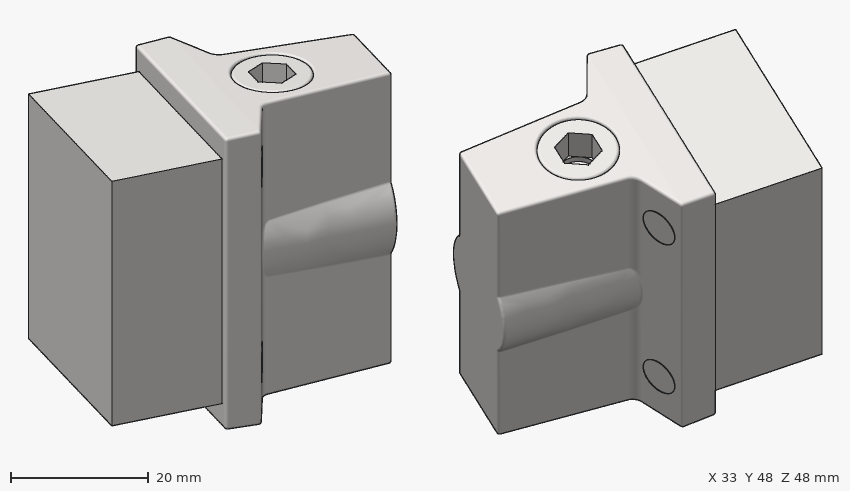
import cadquery as cq
import math

BRUSH_WIDTH = 30.0
TUFT_COLUMNS = 6
TUFT_ROWS = 8
TUFT_SIDE = BRUSH_WIDTH / TUFT_COLUMNS
BRUSH_HEIGHT = TUFT_ROWS * TUFT_SIDE
TUFT_LENGTH = 2 * TUFT_SIDE
SOCKET_DEPTH = 2.5

TOTAL_LENGTH = 48.0
TOTAL_HEIGHT = 48.0
FLANGE_WIDTH = 33.0
HALF_HEIGHT = TOTAL_HEIGHT / 2
FLANGE_HALF_WIDTH = FLANGE_WIDTH / 2
FLANGE_FRONT = 17.45
PARTING_Y = 23.05
DRAFT_INSET = 0.2
SLOPE_ANGLE = 25.0
TRUNK_BACK_HALF_WIDTH = 6.8
TRUNK_TAPER = 4.4
WAIST_RADIUS = 2.0
EDGE_RADIUS = 0.5

SWELLING_BACK_RADIUS = 18.0 / 2
SWELLING_TAPER = 1.5

MARK_DIAMETER = 6.0
MARK_DEPTH = 0.1
MARK_OFFSET = 16.0

SCREW_Y = 32.0
SCREW_DIAMETER = 12.0
SCREW_LENGTH = 8.0
SCREW_RECESS = 0.15
HOLE_MOUTH_RADIUS = 0.4
HEX_WIDTH = 6.0
HEX_DEPTH = 5.0
PILOT_DEPTH = 6.0


def waist_point():
    """Corner where a slope meets the trunk side, as (half width, y)."""
    slope = math.tan(math.radians(SLOPE_ANGLE))
    taper = math.tan(math.radians(TRUNK_TAPER))
    width_to_lose = FLANGE_HALF_WIDTH - TRUNK_BACK_HALF_WIDTH - taper * TOTAL_LENGTH
    y = (PARTING_Y + slope * width_to_lose) / (1 - slope * taper)
    x = TRUNK_BACK_HALF_WIDTH + taper * (TOTAL_LENGTH - y)
    return x, y


def holder_plan():
    """Outline seen along Z, extruded over the full height, with a rounded waist."""
    waist_x, waist_y = waist_point()
    right_side = [
        (FLANGE_HALF_WIDTH - DRAFT_INSET, FLANGE_FRONT),
        (FLANGE_HALF_WIDTH, PARTING_Y),
        (waist_x, waist_y),
        (TRUNK_BACK_HALF_WIDTH, TOTAL_LENGTH),
    ]
    left_side = [(-x, y) for x, y in reversed(right_side)]
    plan = cq.Workplane("XY").polyline(right_side + left_side).close().extrude(HALF_HEIGHT, both=True)
    for side in (-1, 1):
        waist = cq.selectors.NearestToPointSelector((side * waist_x, waist_y, 0))
        plan = plan.edges("|Z").edges(waist).fillet(WAIST_RADIUS)
    return plan


def holder_elevation():
    """Outline seen along X: top and bottom lean inward to both sides of the parting line."""
    upper_side = [
        (FLANGE_FRONT, HALF_HEIGHT - DRAFT_INSET),
        (PARTING_Y, HALF_HEIGHT),
        (TOTAL_LENGTH, HALF_HEIGHT - DRAFT_INSET),
    ]
    lower_side = [(y, -z) for y, z in reversed(upper_side)]
    return (
        cq.Workplane("YZ")
        .polyline(upper_side + lower_side)
        .close()
        .extrude(FLANGE_HALF_WIDTH, both=True)
    )


def is_rounded(edge):
    """True for all edges but the parting lines on top and bottom and the borders of the waist."""
    box = edge.BoundingBox()
    centre = edge.Center()
    is_parting_line = math.isclose(centre.y, PARTING_Y) and box.xlen > FLANGE_HALF_WIDTH
    is_upright = box.zlen > HALF_HEIGHT
    is_waist_border = is_upright and PARTING_Y + EDGE_RADIUS < centre.y < TOTAL_LENGTH - EDGE_RADIUS
    return not is_parting_line and not is_waist_border


def rounded_blank():
    blank = holder_plan().intersect(holder_elevation())
    return blank.newObject([edge for edge in blank.edges().vals() if is_rounded(edge)]).fillet(EDGE_RADIUS)


def swelling():
    """Cone around the Y axis; only its two sides stand out of the trunk."""
    length = TOTAL_LENGTH - PARTING_Y
    front_radius = SWELLING_BACK_RADIUS + length * math.tan(math.radians(SWELLING_TAPER))
    half_section = [
        (0, PARTING_Y),
        (front_radius, PARTING_Y),
        (SWELLING_BACK_RADIUS, TOTAL_LENGTH),
        (0, TOTAL_LENGTH),
    ]
    cone = cq.Workplane("XY").polyline(half_section).close().revolve(360, (0, 0, 0), (0, 1, 0))
    return cone.faces(">Y").edges().fillet(EDGE_RADIUS)


def blend_swelling(body):
    """Round the inner corners along the long edges where the swelling leaves the trunk."""
    trunk_length = TOTAL_LENGTH - waist_point()[1]
    long_edges = [
        edge
        for edge in body.edges().vals()
        if edge.BoundingBox().ylen > trunk_length / 2 and abs(edge.Center().z) < SWELLING_BACK_RADIUS
    ]
    return body.newObject(long_edges).fillet(EDGE_RADIUS)


def slope_mark(side, z):
    """Shallow disc that sinks into the slope on one side."""
    angle = math.radians(SLOPE_ANGLE)
    waist_x, waist_y = waist_point()
    centre = (side * (FLANGE_HALF_WIDTH + waist_x) / 2, (PARTING_Y + waist_y) / 2, z)
    outward = (side * math.sin(angle), math.cos(angle), 0)
    plane = cq.Plane(origin=centre, xDir=(0, 0, 1), normal=outward)
    return cq.Workplane(plane).circle(MARK_DIAMETER / 2).extrude(-MARK_DEPTH)


def cut_socket(body):
    """Recess in the front face that holds the back of the brush."""
    front = cq.Workplane("XZ", origin=(0, FLANGE_FRONT, 0))
    return body.cut(front.rect(BRUSH_WIDTH, BRUSH_HEIGHT).extrude(-SOCKET_DEPTH))


def cut_screw_hole(body):
    """Blind hole from the top with a rounded mouth."""
    bottom = cq.Workplane("XY", origin=(0, SCREW_Y, HALF_HEIGHT - SCREW_LENGTH))
    body = body.cut(bottom.circle(SCREW_DIAMETER / 2).extrude(SCREW_LENGTH))
    mouth = cq.selectors.NearestToPointSelector((0, SCREW_Y, HALF_HEIGHT))
    return body.edges(mouth).fillet(HOLE_MOUTH_RADIUS)


def make_holder():
    body = blend_swelling(rounded_blank().union(swelling()))
    body = cut_screw_hole(cut_socket(body))
    for side in (-1, 1):
        for z in (-MARK_OFFSET, MARK_OFFSET):
            body = body.cut(slope_mark(side, z))
    return body


def make_brush():
    back_y = FLANGE_FRONT + SOCKET_DEPTH
    back = cq.Workplane("XZ", origin=(0, back_y, 0))
    base = back.rect(BRUSH_WIDTH, BRUSH_HEIGHT).extrude(back_y - TUFT_LENGTH)
    tufts = (
        cq.Workplane("XZ", origin=(0, TUFT_LENGTH, 0))
        .rarray(TUFT_SIDE, TUFT_SIDE, TUFT_COLUMNS, TUFT_ROWS)
        .rect(TUFT_SIDE, TUFT_SIDE)
        .extrude(TUFT_LENGTH, combine=False)
    )
    return base.union(tufts, clean=False)


def make_screw():
    top = HALF_HEIGHT - SCREW_RECESS
    head_height = SCREW_LENGTH - SCREW_RECESS
    at_top = cq.Workplane("XY", origin=(0, SCREW_Y, top))
    head = at_top.circle(SCREW_DIAMETER / 2).extrude(-head_height)
    head = head.faces(">Z").edges().fillet(EDGE_RADIUS)
    hexagon = at_top.polygon(6, HEX_WIDTH / math.cos(math.pi / 6)).extrude(-HEX_DEPTH)
    pilot = at_top.circle(HEX_WIDTH / 2).extrude(-PILOT_DEPTH)
    return head.cut(hexagon).cut(pilot)


holder = make_holder()
brush = make_brush()
screw = make_screw()
result = cq.Compound.makeCompound([body.solids().val() for body in (holder, brush, screw)])